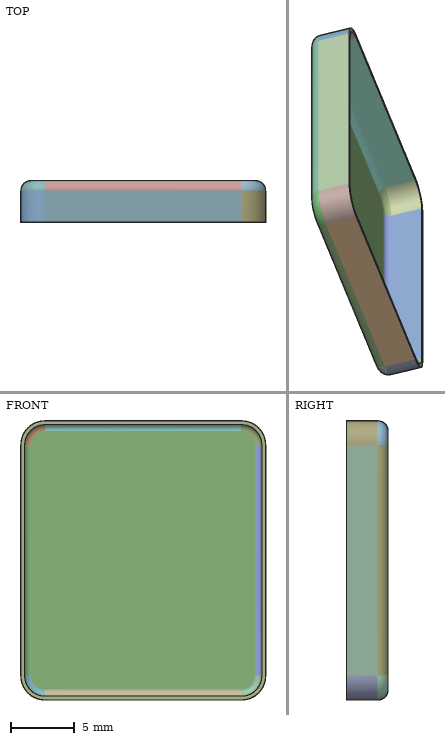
import cadquery as cq

width = 19.3
depth = 3.3
height = 22.0
wall = 0.3
corner_radius = 1.91
rim_radius = 0.81
inner_rim_radius = rim_radius - wall


def rounded_block(size_x, size_y, size_z, upright_radius, back_radius):
    """Block with rounded corners along Y and a rounded +Y face, starting at Y = 0."""
    block = cq.Workplane("XY").box(size_x, size_y, size_z, centered=(True, False, True))
    block = block.edges("|Y").fillet(upright_radius)
    return block.faces(">Y").edges().fillet(back_radius)


shell = rounded_block(width, depth, height, corner_radius, rim_radius)

cavity = rounded_block(
    width - 2 * wall,
    depth - wall,
    height - 2 * wall,
    corner_radius - wall,
    inner_rim_radius,
)

result = shell.cut(cavity)